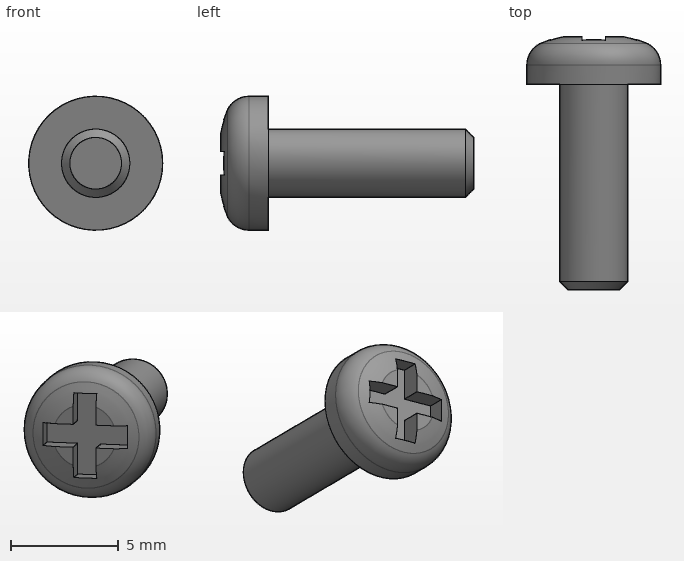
import cadquery as cq
import math

total_length = 11.75
head_diameter = 6.23
head_height = 2.22
rim_height = 0.89
corner_radius = 1.13
corner_height = 1.0
crown_radius = 5.4
flat_top_radius = 1.49

shank_diameter = 3.17
tip_chamfer = 0.39

recess_span = 4
recess_width = 1.08
recess_depth = 1.06

head_radius = head_diameter / 2
shank_length = total_length - head_height

corner_centre = head_radius - corner_radius


def corner_point(angle):
    """Point on the corner arc at an angle above the rim plane."""
    return (
        corner_centre + corner_radius * math.cos(angle),
        rim_height + corner_radius * math.sin(angle),
    )


def make_head():
    corner_angle = math.asin(corner_height / corner_radius)
    return (
        cq.Workplane("XY")
        .lineTo(head_radius, 0)
        .lineTo(head_radius, rim_height)
        .threePointArc(corner_point(corner_angle / 2), corner_point(corner_angle))
        .radiusArc((flat_top_radius, head_height), -crown_radius)
        .lineTo(0, head_height)
        .close()
        .revolve(360, (0, 0, 0), (0, 1, 0))
    )


def make_shank():
    return (
        cq.Workplane("XZ")
        .circle(shank_diameter / 2)
        .extrude(shank_length)
        .faces("<Y")
        .chamfer(tip_chamfer)
    )


def make_cross_recess():
    """Two crossing slots sunk into the top of the head."""
    top = cq.Workplane("XZ", origin=(0, head_height, 0))
    slot_along_x = top.rect(recess_span, recess_width).extrude(recess_depth)
    slot_along_z = top.rect(recess_width, recess_span).extrude(recess_depth)
    return slot_along_x.union(slot_along_z)


result = make_head().union(make_shank()).cut(make_cross_recess())